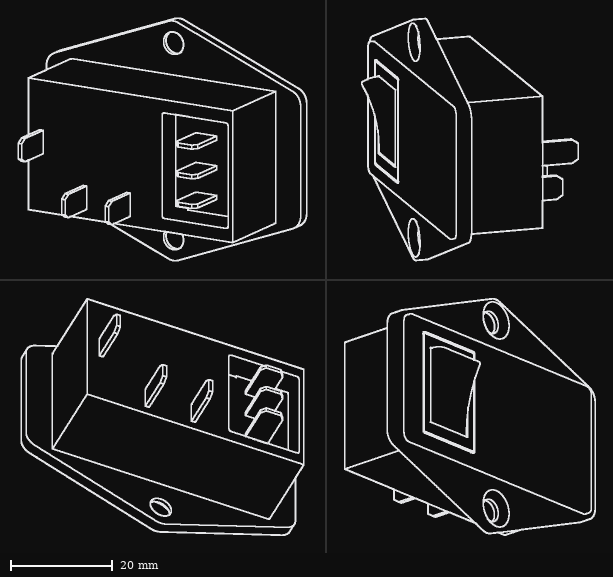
import cadquery as cq
import math


FLANGE_WIDTH = 58.3
FLANGE_HEIGHT = 49.05
FLANGE_THICKNESS = 2.5
FLANGE_SIDE_CORNER_Z = 13.35
FLANGE_CORNER_RADIUS = 3.05
SCREW_HOLE_DIAMETER = 4.55
SCREW_HOLE_SPACING = 39.95
SCREW_HOLE_STRAIGHT_DEPTH = 1.0
COUNTERSINK_ANGLE = 90.0
FRONT_EDGE_RADIUS = 0.2

BEZEL_WIDTH = 54.0
BEZEL_HEIGHT = 26.95
BEZEL_THICKNESS = 0.95
BEZEL_CORNER_RADIUS = 1.5

BOX_WIDTH = 46.9
BOX_HEIGHT = BEZEL_HEIGHT
BOX_DEPTH = 16.5

SWITCH_X = 14.8
OPENING_WIDTH = 15.15
OPENING_HEIGHT = 21.6
OPENING_CORNER_RADIUS = 0.6

BLADE_WIDTH = 4.8
BLADE_THICKNESS = 0.8
BLADE_CORNER_INSET = 0.8

INLET_BLADE_TIP_Y = -24.8
INLET_BLADE_CORNER_LENGTH = 1.3
INLET_X = -10.45
INLET_BLADE_PITCH = 9.95
LINE_BLADE_Z = -9.1
EARTH_BLADE_Z = LINE_BLADE_Z + INLET_BLADE_PITCH

LIP_GAP = 0.35
LIP_WIDTH = OPENING_WIDTH - 2 * LIP_GAP
LIP_HEIGHT = OPENING_HEIGHT - 2 * LIP_GAP
BODY_RIGHT_X = 21.85
BODY_STEP_X = 10.65
BODY_LEFT_X = 8.0
BODY_HEIGHT = 19.55
BODY_SIDE_HEIGHT = 18.85
BODY_CENTER_Z = 0.2
BODY_RECESS_DEPTH = 4.0

SWITCH_BLADE_X = 15.0
SWITCH_BLADE_PITCH = 6.05
SWITCH_BLADE_COUNT = 3
SWITCH_BLADE_TIP_Y = -20.7
SWITCH_BLADE_CORNER_LENGTH = 1.0

ROCKER_WIDTH = 10.8
ROCKER_RADIUS = 7.9
ROCKER_AXIS_Y = 3.25
ROCKER_EDGE_RADIUS = 0.4
DISH_RADIUS = 28.35
DISH_CENTER_DISTANCE = 29.3
DISH_TILT = 14.5

BEZEL_FRONT_Y = FLANGE_THICKNESS + BEZEL_THICKNESS
BODY_REAR_Y = BODY_RECESS_DEPTH - BOX_DEPTH


def block(x_min, x_max, y_min, y_max, height, center_z=0.0):
    """Box between the given X and Y limits, centred on center_z."""
    size_x = x_max - x_min
    size_y = y_max - y_min
    corner = cq.Vector(x_min, y_min, center_z - height / 2)
    return cq.Workplane(cq.Solid.makeBox(size_x, size_y, height, corner))


def centered_block(center_x, width, y_min, y_max, height):
    """Box of the given width and height, centred on center_x and Z = 0."""
    return block(center_x - width / 2, center_x + width / 2, y_min, y_max, height)


def flat_blade(root_y, tip_y, corner_length):
    """Flat blade lying across X, running from root_y back to a tip with cut corners."""
    half = BLADE_WIDTH / 2
    tip_half = half - BLADE_CORNER_INSET
    outline = [
        (-half, root_y),
        (half, root_y),
        (half, tip_y + corner_length),
        (tip_half, tip_y),
        (-tip_half, tip_y),
        (-half, tip_y + corner_length),
    ]
    return cq.Workplane("XY").polyline(outline).close().extrude(BLADE_THICKNESS / 2, both=True)


def screw_hole(hole_z):
    """Screw hole at the given Z: straight at the rear, countersunk towards the front."""
    radius = SCREW_HOLE_DIAMETER / 2
    sink_depth = FLANGE_THICKNESS - SCREW_HOLE_STRAIGHT_DEPTH
    sink_radius = radius + sink_depth * math.tan(math.radians(COUNTERSINK_ANGLE / 2))
    profile = [
        (0, 0),
        (radius, 0),
        (radius, SCREW_HOLE_STRAIGHT_DEPTH),
        (sink_radius, FLANGE_THICKNESS),
        (0, FLANGE_THICKNESS),
    ]
    hole = cq.Workplane("XY").polyline(profile).close().revolve(360, (0, 0), (0, 1))
    return hole.translate((0, 0, hole_z))


def make_flange():
    half_width = FLANGE_WIDTH / 2
    slope_rise = FLANGE_HEIGHT / 2 - FLANGE_SIDE_CORNER_Z
    slope = math.atan2(slope_rise, half_width)
    apex_z = FLANGE_HEIGHT / 2 + FLANGE_CORNER_RADIUS * (1 / math.cos(slope) - 1)
    outline = [
        (half_width, -FLANGE_SIDE_CORNER_Z),
        (half_width, FLANGE_SIDE_CORNER_Z),
        (0, apex_z),
        (-half_width, FLANGE_SIDE_CORNER_Z),
        (-half_width, -FLANGE_SIDE_CORNER_Z),
        (0, -apex_z),
    ]
    flange = cq.Workplane("XZ").polyline(outline).close().extrude(-FLANGE_THICKNESS)
    flange = flange.edges("|Y").fillet(FLANGE_CORNER_RADIUS)
    flange = flange.faces(">Y").edges().fillet(FRONT_EDGE_RADIUS)
    for hole_z in (SCREW_HOLE_SPACING / 2, -SCREW_HOLE_SPACING / 2):
        flange = flange.cut(screw_hole(hole_z))
    return flange


def make_bezel():
    bezel = centered_block(0, BEZEL_WIDTH, FLANGE_THICKNESS, BEZEL_FRONT_Y, BEZEL_HEIGHT)
    bezel = bezel.edges("|Y").fillet(BEZEL_CORNER_RADIUS)
    return bezel.faces(">Y").edges().fillet(FRONT_EDGE_RADIUS)


def make_inlet_blades():
    blade = flat_blade(-BOX_DEPTH, INLET_BLADE_TIP_Y, INLET_BLADE_CORNER_LENGTH)
    upright = blade.rotate((0, 0, 0), (0, 1, 0), 90)
    places = [
        (INLET_X - INLET_BLADE_PITCH, EARTH_BLADE_Z),
        (INLET_X, LINE_BLADE_Z),
        (INLET_X + INLET_BLADE_PITCH, LINE_BLADE_Z),
    ]
    return [upright.translate((x, 0, z)) for x, z in places]


def make_housing():
    housing = centered_block(0, BOX_WIDTH, -BOX_DEPTH, 0, BOX_HEIGHT)
    housing = housing.union(make_flange()).union(make_bezel())
    opening = centered_block(SWITCH_X, OPENING_WIDTH, -BOX_DEPTH, BEZEL_FRONT_Y, OPENING_HEIGHT)
    housing = housing.cut(opening.edges("|Y").fillet(OPENING_CORNER_RADIUS))
    for blade in make_inlet_blades():
        housing = housing.union(blade)
    return housing


def rocker_disc():
    """Full disc of the rocker, which is also the shape of its well in the frame."""
    return (
        cq.Workplane("YZ", origin=(SWITCH_X, 0, 0))
        .center(ROCKER_AXIS_Y, 0)
        .circle(ROCKER_RADIUS)
        .extrude(ROCKER_WIDTH / 2, both=True)
    )


def make_switch_frame():
    lip = centered_block(SWITCH_X, LIP_WIDTH, 0, BEZEL_FRONT_Y, LIP_HEIGHT)
    body = block(BODY_STEP_X, BODY_RIGHT_X, BODY_REAR_Y, 0, BODY_HEIGHT, BODY_CENTER_Z)
    side = block(BODY_LEFT_X, BODY_STEP_X, BODY_REAR_Y, 0, BODY_SIDE_HEIGHT, BODY_CENTER_Z)
    frame = lip.union(body).union(side).cut(rocker_disc())
    blade = flat_blade(BODY_REAR_Y, SWITCH_BLADE_TIP_Y, SWITCH_BLADE_CORNER_LENGTH)
    for index in range(SWITCH_BLADE_COUNT):
        blade_z = (index - (SWITCH_BLADE_COUNT - 1) / 2) * SWITCH_BLADE_PITCH
        frame = frame.union(blade.translate((SWITCH_BLADE_X, 0, blade_z)))
    return frame


def make_rocker():
    tilt = math.radians(DISH_TILT)
    dish_y = ROCKER_AXIS_Y + DISH_CENTER_DISTANCE * math.cos(tilt)
    dish_z = -DISH_CENTER_DISTANCE * math.sin(tilt)
    dish = (
        cq.Workplane("YZ", origin=(SWITCH_X, 0, 0))
        .center(dish_y, dish_z)
        .circle(DISH_RADIUS)
        .extrude(ROCKER_WIDTH, both=True)
    )
    return rocker_disc().cut(dish).edges().fillet(ROCKER_EDGE_RADIUS)


housing = make_housing()
switch_frame = make_switch_frame()
rocker = make_rocker()

result = cq.Compound.makeCompound([housing.val(), switch_frame.val(), rocker.val()])